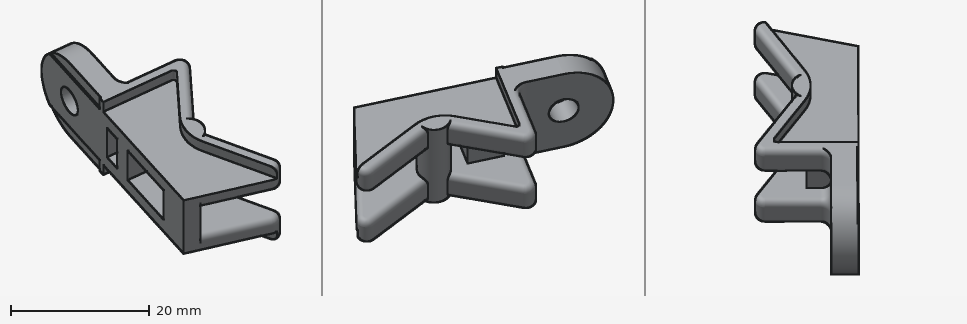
import cadquery as cq
import math

length = 41.5
width = 15.0
height = 15.0
half_width = width / 2

plate_thickness = 4.0
hole_diameter = 4.5
strip_inner_half = 5.25
strip_end = 15.52
strip_depth = 0.2

saddle_start = 14.52
arm_width = 4.5
gap = width - 2 * arm_width
tip_radius = 1.5
slope = math.radians(30)
end_lean = math.radians(15)
edge_radius = 1.0
foot_radius = 1.5

rim = 2.0
pocket_depth = 2.0
pocket_corner_radius = 0.5
pocket_valley_radius = 5.98

bar_radius = 2.5
bar_height = 7.15
floor_thickness = 2.5
slot_start = 17.5
slot_end = 20.2
window_start = 23.05
window_end = 32.58
block_height = 7.5

tip_y = height - tip_radius
left_tip_x = saddle_start + tip_radius
right_tip_x = length - tip_radius
valley_x = (left_tip_x + right_tip_x) / 2
slope_start_dx = tip_radius * math.sin(slope)
slope_start_y = tip_y + tip_radius * math.cos(slope)
valley_y = slope_start_y - (valley_x - left_tip_x - slope_start_dx) * math.tan(slope)
end_tangent_x = right_tip_x + tip_radius * math.cos(end_lean)
end_tangent_y = tip_y - tip_radius * math.sin(end_lean)
end_foot_x = end_tangent_x - end_tangent_y * math.tan(end_lean)


def tip_point(center_x, angle):
    """Point on a rounded tip, with the angle measured from +X."""
    return center_x + tip_radius * math.cos(angle), tip_y + tip_radius * math.sin(angle)


def slab(profile, thickness):
    """Extrude an XY profile evenly to both sides of the centre plane."""
    return profile.extrude(thickness).translate((0, 0, -thickness / 2))


def block(x_start, x_end, y_start, y_end, depth):
    """Box given by its X and Y limits, centred on the centre plane."""
    return (
        cq.Workplane("XY")
        .box(x_end - x_start, y_end - y_start, depth, centered=(False, False, True))
        .translate((x_start, y_start, 0))
    )


def saddle_profile():
    """Outline of an arm: upright -X face, V between two rounded tips, leaning end face."""
    slope_normal = math.pi / 2 - slope
    left_angle = (math.pi + slope_normal) / 2
    right_angle = (math.pi - slope_normal - end_lean) / 2
    return (
        cq.Workplane("XY")
        .moveTo(saddle_start, 0)
        .lineTo(saddle_start, tip_y)
        .threePointArc(tip_point(left_tip_x, left_angle), tip_point(left_tip_x, slope_normal))
        .lineTo(valley_x, valley_y)
        .lineTo(*tip_point(right_tip_x, math.pi - slope_normal))
        .threePointArc(tip_point(right_tip_x, right_angle), (end_tangent_x, end_tangent_y))
        .lineTo(end_foot_x, 0)
        .close()
    )


def make_plate():
    straight = block(half_width, saddle_start + rim, 0, plate_thickness, width)
    round_end = (
        cq.Workplane("XZ")
        .center(half_width, 0)
        .circle(half_width)
        .extrude(-plate_thickness)
    )
    return straight.union(round_end)


def make_arm():
    """Arm on the +Z side, with all its side edges rounded except those on the base."""
    arm = saddle_profile().extrude(arm_width)
    rounded = arm.faces("<Z or >Z").edges("not <Y")
    return rounded.fillet(edge_radius).translate((0, 0, gap / 2))


def make_core():
    """Material between the arms: plate end, raised block and thin floor."""
    plate_end = block(saddle_start, slot_start, 0, plate_thickness, width - 2 * pocket_depth)
    core_width = gap + 2 * edge_radius
    raised = block(slot_start, window_start, 0, block_height, core_width)
    floor_end_x = end_foot_x + floor_thickness * math.tan(end_lean)
    floor_profile = (
        cq.Workplane("XY")
        .moveTo(window_start, 0)
        .lineTo(end_foot_x, 0)
        .lineTo(floor_end_x, floor_thickness)
        .lineTo(window_start, floor_thickness)
        .close()
    )
    floor = slab(floor_profile, core_width)
    return plate_end.union(raised).union(floor)


def foot_section(plane, reach):
    """Section of the flared foot: a wall of the given reach ending in a concave quarter round."""
    toe = reach + foot_radius
    bend = foot_radius * math.sqrt(0.5)
    return (
        cq.Workplane(plane)
        .moveTo(0, plate_thickness)
        .lineTo(toe, plate_thickness)
        .threePointArc(
            (toe - bend, plate_thickness + foot_radius - bend),
            (reach, plate_thickness + foot_radius),
        )
        .lineTo(0, plate_thickness + foot_radius)
        .close()
    )


def make_foot():
    """Foot flare joining the +Z arm to the plate, around its -X face and along the gap."""
    quarter_turn = 90
    corner_x = saddle_start + edge_radius
    inner_z = gap / 2 + edge_radius
    outer_z = half_width - edge_radius
    toward_plate = cq.Plane(origin=(corner_x, 0, inner_z), xDir=(-1, 0, 0), normal=(0, 0, -1))
    toward_gap = cq.Plane(origin=(corner_x, 0, inner_z), xDir=(0, 0, -1), normal=(1, 0, 0))
    front = foot_section(toward_plate, edge_radius).extrude(inner_z - outer_z)
    side = foot_section(toward_gap, edge_radius).extrude(slot_start - corner_x)
    inner_turn = foot_section(toward_gap, edge_radius).revolve(quarter_turn, (0, 0, 0), (0, 1, 0))
    outer_turn = (
        foot_section(toward_plate, edge_radius)
        .revolve(quarter_turn, (0, 0, 0), (0, 1, 0))
        .translate((0, 0, outer_z - inner_z))
    )
    foot = front.union(side).union(inner_turn).union(outer_turn)
    return foot.intersect(block(0, length, 0, height, width))


def make_bar():
    bar_profile = cq.Workplane("XY").center(valley_x, bar_height).circle(bar_radius)
    return slab(bar_profile, width)


def make_side_pocket():
    """Pocket in the +Z side, open to the base and the end face, leaving a rim along the V."""
    pocket_valley_y = valley_y - rim / math.cos(slope)
    pocket_start = saddle_start + rim
    clear_x = length + rim
    rise = math.tan(slope)
    outline = (
        cq.Workplane("XY", origin=(0, 0, half_width - pocket_depth))
        .moveTo(pocket_start, -rim)
        .lineTo(pocket_start, pocket_valley_y + (valley_x - pocket_start) * rise)
        .lineTo(valley_x, pocket_valley_y)
        .lineTo(clear_x, pocket_valley_y + (clear_x - valley_x) * rise)
        .lineTo(clear_x, -rim)
        .close()
        .extrude(2 * pocket_depth)
    )
    corner = cq.selectors.NearestToPointSelector((pocket_start, height, half_width))
    valley = cq.selectors.NearestToPointSelector((valley_x, pocket_valley_y, half_width))
    rounded = outline.edges("|Z").edges(corner).fillet(pocket_corner_radius)
    return rounded.edges("|Z").edges(valley).fillet(pocket_valley_radius)


def make_strip_recess():
    """Shallow recess along the +Z edge of the plate's -Y face."""
    strip_width = half_width - strip_inner_half
    recess = block(0, strip_end, 0, strip_depth, strip_width)
    return recess.translate((0, 0, strip_inner_half + strip_width / 2))


def make_strap_slot():
    """Blind slot in the base whose ceiling rises at 45 degrees toward -X."""
    depth = slot_end - slot_start
    corners = [(slot_start, 0), (slot_end, 0), (slot_start, depth)]
    profile = cq.Workplane("XY").polyline(corners).close()
    return slab(profile, gap)


def make_screw_hole():
    return (
        cq.Workplane("XZ")
        .center(half_width, 0)
        .circle(hole_diameter / 2)
        .extrude(-plate_thickness)
    )


def on_both_sides(shape):
    return shape.union(shape.mirror("XY"))


body = (
    make_plate()
    .union(on_both_sides(make_arm()))
    .union(make_core())
    .union(on_both_sides(make_foot()))
    .union(make_bar())
)
window = block(window_start, window_end, 0, floor_thickness, gap)
result = (
    body
    .cut(on_both_sides(make_side_pocket()))
    .cut(on_both_sides(make_strip_recess()))
    .cut(make_strap_slot())
    .cut(window)
    .cut(make_screw_hole())
    .clean()
)